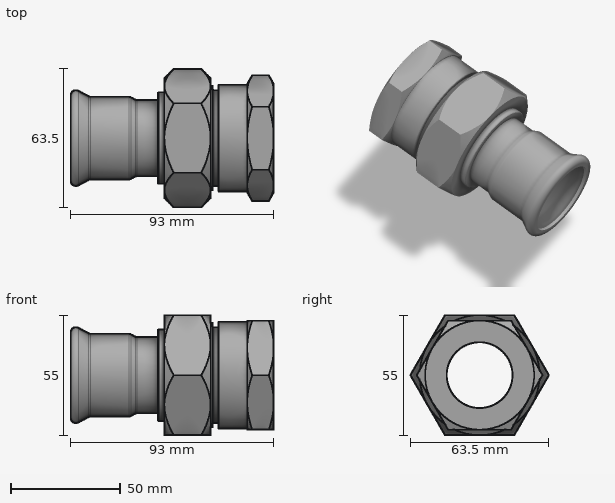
import cadquery as cq
import math

total_length = 93.0

tube_radius = 38.0 / 2
wall = 1.4
bead_radius = 44.0 / 2
bead_roll = 2.4
taper_angle = math.radians(28)
blend_radius = 1.9
socket_radius = 35.2 / 2
socket_depth = 26.1
bore_radius = 30.0 / 2

neck_radius = 35.0 / 2
step_start = 27.1
collar_start = 40.0
collar_radius = 42.0 / 2
edge_chamfer = 0.3

nut_start = 43.0
nut_length = 21.1
nut_flats = 55.0
nut_chamfer_angle = math.radians(45)
nut_lip = 4.2
nut_end = nut_start + nut_length
lip_end = nut_start + nut_lip

spigot_radius = 47.8 / 2
spigot_end = nut_end + 0.9
relief_radius = 44.0 / 2
relief_fillet = 0.5
barrel_start = 67.6
barrel_radius = 49.0 / 2
hex_start = 80.9
hex_flats = 49.9
hex_chamfer_angle = math.radians(30)

bead_center_radius = bead_radius - bead_roll
taper_rise = math.tan(taper_angle)
blend_setback = blend_radius * math.tan(taper_angle / 2)


def bead_point(radius, angle):
    """Point on an arc about the bead centre, angle measured from the radial direction."""
    return (bead_roll + radius * math.sin(angle), bead_center_radius + radius * math.cos(angle))


bead_tangent_x, bead_tangent_r = bead_point(bead_roll, taper_angle)
taper_end = bead_tangent_x + (bead_tangent_r - tube_radius) / taper_rise
step_end = step_start + (tube_radius - neck_radius) / taper_rise


def blend_point(center, radius, angle, side):
    """Point of a blend arc; side is -1 below the centre and +1 above it."""
    return (center[0] + side * radius * math.sin(angle), center[1] + side * radius * math.cos(angle))


def revolve(profile):
    """Turn a closed (X, radius) profile around the X axis."""
    return profile.close().revolve(360, (0, 0, 0), (1, 0, 0))


def cylinder(start, end, radius):
    return cq.Workplane("YZ", origin=(start, 0, 0)).circle(radius).extrude(end - start)


def hexagon(start, end, flats, chamfer_angle):
    """Hexagonal prism with corners on Y and both ends turned down to the flats circle."""
    corner_diameter = flats / math.cos(math.pi / 6)
    corner_radius = corner_diameter / 2
    face_radius = flats / 2
    setback = (corner_radius - face_radius) * math.tan(chamfer_angle)
    prism = cq.Workplane("YZ", origin=(start, 0, 0)).polygon(6, corner_diameter).extrude(end - start)
    envelope = revolve(
        cq.Workplane("XY")
        .moveTo(start, 0)
        .lineTo(start, face_radius)
        .lineTo(start + setback, corner_radius)
        .lineTo(end - setback, corner_radius)
        .lineTo(end, face_radius)
        .lineTo(end, 0)
    )
    return prism.intersect(envelope)


def make_tail():
    """Solid outside of the beaded tube, its step and the neck."""
    bead_blend = (taper_end + blend_setback, tube_radius + blend_radius)
    step_top = (step_start - blend_setback, tube_radius - blend_radius)
    step_foot = (step_end + blend_setback, neck_radius + blend_radius)
    half = taper_angle / 2
    return revolve(
        cq.Workplane("XY")
        .moveTo(0, 0)
        .lineTo(0, bead_center_radius)
        .threePointArc(bead_point(bead_roll, -math.pi / 4), bead_point(bead_roll, taper_angle))
        .lineTo(*blend_point(bead_blend, blend_radius, taper_angle, -1))
        .threePointArc(
            blend_point(bead_blend, blend_radius, half, -1),
            blend_point(bead_blend, blend_radius, 0, -1),
        )
        .lineTo(*blend_point(step_top, blend_radius, 0, 1))
        .threePointArc(
            blend_point(step_top, blend_radius, half, 1),
            blend_point(step_top, blend_radius, taper_angle, 1),
        )
        .lineTo(*blend_point(step_foot, blend_radius, taper_angle, -1))
        .threePointArc(
            blend_point(step_foot, blend_radius, half, -1),
            blend_point(step_foot, blend_radius, 0, -1),
        )
        .lineTo(collar_start, neck_radius)
        .lineTo(collar_start, 0)
    )


def make_bead_groove():
    """Seal groove inside the bead, one wall thickness inside the outer outline."""
    groove_roll = bead_roll - wall
    blend_center = (taper_end + blend_setback, tube_radius + blend_radius)
    inner_blend = blend_center[1] - socket_radius
    return revolve(
        cq.Workplane("XY")
        .moveTo(wall, 0)
        .lineTo(wall, bead_center_radius)
        .threePointArc(bead_point(groove_roll, -math.pi / 4), bead_point(groove_roll, taper_angle))
        .lineTo(*blend_point(blend_center, inner_blend, taper_angle, -1))
        .threePointArc(
            blend_point(blend_center, inner_blend, taper_angle / 2, -1),
            blend_point(blend_center, inner_blend, 0, -1),
        )
        .lineTo(blend_center[0], 0)
    )


def make_relief():
    """Relief groove behind the spigot, with a small root fillet."""
    fillet_center_x = spigot_end + relief_fillet
    fillet_center_r = relief_radius + relief_fillet
    diagonal = relief_fillet * math.sqrt(0.5)
    return revolve(
        cq.Workplane("XY")
        .moveTo(spigot_end, spigot_radius)
        .lineTo(spigot_end, fillet_center_r)
        .threePointArc(
            (fillet_center_x - diagonal, fillet_center_r - diagonal),
            (fillet_center_x, relief_radius),
        )
        .lineTo(barrel_start, relief_radius)
        .lineTo(barrel_start, spigot_radius)
    )


def make_fitting():
    collar = cylinder(collar_start, lip_end, collar_radius).faces("<X").chamfer(edge_chamfer)
    spigot = cylinder(lip_end, barrel_start, spigot_radius).cut(make_relief())
    barrel = cylinder(barrel_start, hex_start, barrel_radius).faces("<X").chamfer(edge_chamfer)
    end_hex = hexagon(hex_start, total_length, hex_flats, hex_chamfer_angle)
    outside = make_tail().union(collar).union(spigot).union(barrel).union(end_hex)
    bore = cylinder(0, total_length, bore_radius)
    socket = cylinder(0, socket_depth, socket_radius)
    return outside.cut(bore).cut(socket).cut(make_bead_groove())


def make_union_nut():
    blank = hexagon(nut_start, nut_end, nut_flats, nut_chamfer_angle)
    lip_bore = cylinder(nut_start, lip_end, collar_radius)
    thread_bore = cylinder(lip_end, nut_end, spigot_radius)
    return blank.cut(lip_bore).cut(thread_bore)


fitting = make_fitting()
union_nut = make_union_nut()
result = cq.Compound.makeCompound([fitting.solids().val(), union_nut.solids().val()])